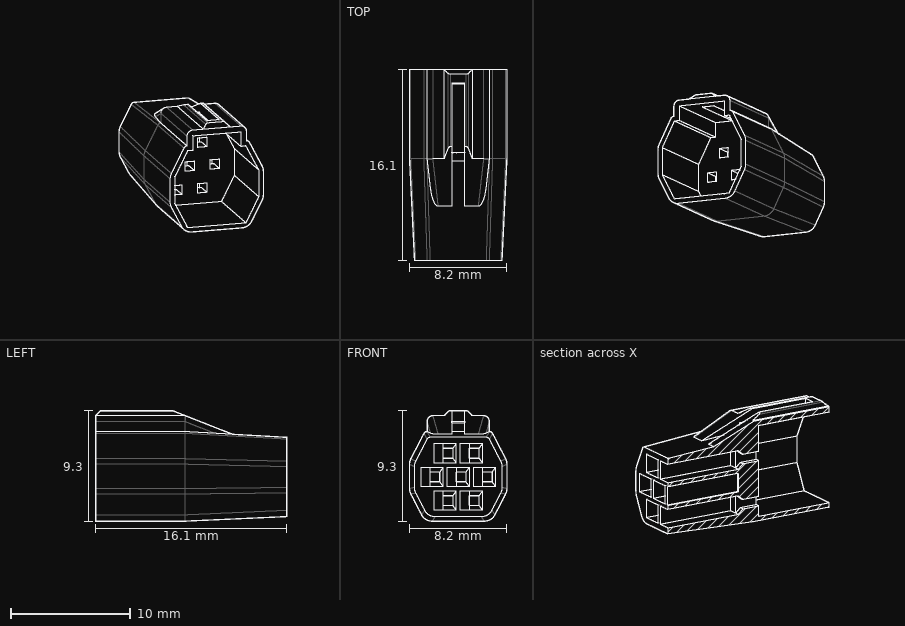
import cadquery as cq
import math

LENGTH = 16.05
TAPER_END = 8.55

HALF_WIDTH = 8.2 / 2
HALF_HEIGHT = 7.55 / 2
SIDE_CORNER_Z = 1.27
SLANT_ANGLE = math.radians(27.3)

SIDE_TAPER = 0.42
TOP_TAPER = 0.48
BOTTOM_TAPER = 0.39
UPPER_CORNER_DROP = 0.21
LOWER_CORNER_RISE = 0.1

TOP_ROUND = 0.29
SIDE_ROUND = 1.0
BOTTOM_ROUND = 1.0

LATCH_HALF_WIDTH = 2.62
LATCH_TOP = 5.12
LATCH_ROUND = 0.5
RAMP_START = 4.56
RAMP_NARROWING = 0.45

RIDGE_HALF_WIDTH = 1.19
RIDGE_HEIGHT = 0.4
RIDGE_ROUND = 0.29

SLOT_WIDTH = 1.08
SLOT_END = 14.93
BAR_LEAN = 0.1
STOP_START = 8.35
STOP_TOP = 4.5

CHAMBER_START = 9.05
WALL = 0.42
CHAMBER_TOP = 4.6
LATCH_WALL = 0.51

CAVITY_WIDTH = 1.86
CAVITY_HEIGHT = 1.6
CAVITY_DEPTH = 7.0
COLUMN_PITCH = 2.2
ROW_PITCH = 1.99
MIDDLE_ROW_Z = -0.05
ROW_COUNTS = (2, 3, 2)
LEDGE_WIDTH = 0.77
PIN_HOLE = 0.8
FUNNEL_DEPTH = 0.48

RIDGE_TOP = LATCH_TOP + RIDGE_HEIGHT
RAMP_FOOT_Z = HALF_HEIGHT - TOP_TAPER * (TAPER_END - RAMP_START) / TAPER_END
RAMP_SLOPE = (LATCH_TOP - RAMP_FOOT_Z) / (TAPER_END - RAMP_START)


def prism(sketch, start, end):
    """Extrude an X-Z sketch along Y."""
    return cq.Workplane("XZ", origin=(0, start, 0)).placeSketch(sketch).extrude(start - end)


def loft(start_sketch, start, end_sketch, end):
    """Straight-sided loft along Y between two X-Z sketches."""
    offset = cq.Location(cq.Vector(0, 0, start - end))
    plane = cq.Workplane("XZ", origin=(0, start, 0))
    return plane.placeSketch(start_sketch, end_sketch.moved(offset)).loft(ruled=True)


def box(x_min, x_max, y_min, y_max, z_min, z_max):
    """Block between the given limits."""
    size = (x_max - x_min, y_max - y_min, z_max - z_min)
    return cq.Workplane("XY").box(*size, centered=False).translate((x_min, y_min, z_min))


def housing_section(half_width, top, upper_corner, lower_corner, bottom):
    """Eight-sided section with sharp corners."""
    top_half = half_width - (top - upper_corner) * math.tan(SLANT_ANGLE)
    bottom_half = half_width - (lower_corner - bottom) * math.tan(SLANT_ANGLE)
    right = [
        (bottom_half, bottom),
        (half_width, lower_corner),
        (half_width, upper_corner),
        (top_half, top),
    ]
    left = [(-x, z) for x, z in reversed(right)]
    return cq.Sketch().polygon(right + left + right[:1])


def round_corners(section):
    """Round the side, top and bottom corners of a housing section."""
    section = section.vertices(">X or <X").fillet(SIDE_ROUND).reset()
    section = section.vertices(">Y").fillet(TOP_ROUND).reset()
    return section.vertices("<Y").fillet(BOTTOM_ROUND).reset()


def make_housing():
    """Tapered length at the cable end, then a straight length to the mating end."""
    mating = housing_section(
        HALF_WIDTH, HALF_HEIGHT, SIDE_CORNER_Z, -SIDE_CORNER_Z, -HALF_HEIGHT
    )
    cable = housing_section(
        HALF_WIDTH - SIDE_TAPER,
        HALF_HEIGHT - TOP_TAPER,
        SIDE_CORNER_Z - UPPER_CORNER_DROP,
        -SIDE_CORNER_Z + LOWER_CORNER_RISE,
        -HALF_HEIGHT + BOTTOM_TAPER,
    )
    cable = round_corners(cable)
    mating = round_corners(mating)
    return loft(cable, 0, mating, TAPER_END).union(prism(mating, TAPER_END, LENGTH))


def make_latch():
    """Latch block with a narrowing ramp at the cable end, rounded along its top edges."""
    foot_half = LATCH_HALF_WIDTH - RAMP_NARROWING
    side_profile = (
        cq.Workplane("YZ")
        .moveTo(RAMP_START, 0)
        .lineTo(RAMP_START, RAMP_FOOT_Z)
        .lineTo(TAPER_END, LATCH_TOP)
        .lineTo(LENGTH, LATCH_TOP)
        .lineTo(LENGTH, 0)
        .close()
        .extrude(LATCH_HALF_WIDTH, both=True)
    )
    plan = (
        cq.Workplane("XY")
        .moveTo(-foot_half, RAMP_START)
        .lineTo(foot_half, RAMP_START)
        .lineTo(LATCH_HALF_WIDTH, TAPER_END)
        .lineTo(LATCH_HALF_WIDTH, LENGTH)
        .lineTo(-LATCH_HALF_WIDTH, LENGTH)
        .lineTo(-LATCH_HALF_WIDTH, TAPER_END)
        .close()
        .extrude(LATCH_TOP)
    )
    block = side_profile.intersect(plan)
    top_edges = block.faces(">Z").edges("|Y").vals()
    for side in (-1, 1):
        ramp_edge_middle = (
            side * (foot_half + LATCH_HALF_WIDTH) / 2,
            (RAMP_START + TAPER_END) / 2,
            (RAMP_FOOT_Z + LATCH_TOP) / 2,
        )
        top_edges += block.edges(cq.NearestToPointSelector(ramp_edge_middle)).vals()
    return block.newObject(top_edges).fillet(LATCH_ROUND)


def make_ridge():
    """Bevelled ridge, trimmed by the ramp at one end and by a bevel at the other."""
    base = HALF_HEIGHT
    top_half = RIDGE_HALF_WIDTH - RIDGE_HEIGHT
    right = [(RIDGE_HALF_WIDTH, base), (RIDGE_HALF_WIDTH, LATCH_TOP), (top_half, RIDGE_TOP)]
    left = [(-x, z) for x, z in reversed(right)]
    section = cq.Sketch().polygon(right + left + right[:1]).vertices(">Y").fillet(RIDGE_ROUND).reset()
    side_profile = (
        cq.Workplane("YZ")
        .moveTo(TAPER_END, base)
        .lineTo(TAPER_END, LATCH_TOP)
        .lineTo(TAPER_END + RIDGE_HEIGHT / RAMP_SLOPE, RIDGE_TOP)
        .lineTo(LENGTH - RIDGE_HEIGHT, RIDGE_TOP)
        .lineTo(LENGTH, LATCH_TOP)
        .lineTo(LENGTH, base)
        .close()
        .extrude(RIDGE_HALF_WIDTH, both=True)
    )
    return prism(section, TAPER_END, LENGTH).intersect(side_profile)


def make_slot():
    """Slot through the latch down to the housing top, with the stop left standing."""
    return (
        cq.Workplane("YZ")
        .moveTo(0, HALF_HEIGHT - TOP_TAPER)
        .lineTo(TAPER_END, HALF_HEIGHT)
        .lineTo(SLOT_END - BAR_LEAN, HALF_HEIGHT)
        .lineTo(SLOT_END - BAR_LEAN, CHAMBER_TOP)
        .lineTo(SLOT_END, RIDGE_TOP)
        .lineTo(0, RIDGE_TOP)
        .close()
        .extrude(SLOT_WIDTH / 2, both=True)
        .cut(box(-SLOT_WIDTH, SLOT_WIDTH, STOP_START, CHAMBER_START, 0, STOP_TOP))
    )


def make_chamber():
    """Hollow that follows the housing and reaches up into the latch, with sharp corners."""
    corner_z = SIDE_CORNER_Z - WALL * math.tan(SLANT_ANGLE / 2)
    section = housing_section(
        HALF_WIDTH - WALL, HALF_HEIGHT - WALL, corner_z, -corner_z, WALL - HALF_HEIGHT
    )
    latch_half = LATCH_HALF_WIDTH - LATCH_WALL
    latch_room = box(-latch_half, latch_half, CHAMBER_START, LENGTH, 0, CHAMBER_TOP)
    return prism(section, CHAMBER_START, LENGTH).union(latch_room)


def make_cavity():
    """Contact cavity with a stepped floor, a funnel and a pin hole into the chamber."""
    funnel_width = CAVITY_WIDTH - LEDGE_WIDTH
    ledge_edge = LEDGE_WIDTH - CAVITY_WIDTH / 2
    funnel_x = ledge_edge + funnel_width / 2
    hole_x = ledge_edge + PIN_HOLE / 2
    funnel_end = CAVITY_DEPTH + FUNNEL_DEPTH
    pocket = cq.Sketch().rect(CAVITY_WIDTH, CAVITY_HEIGHT)
    mouth = cq.Sketch().push([(funnel_x, 0)]).rect(funnel_width, CAVITY_HEIGHT)
    hole = cq.Sketch().push([(hole_x, 0)]).rect(PIN_HOLE, PIN_HOLE)
    return (
        prism(pocket, 0, CAVITY_DEPTH)
        .union(loft(mouth, CAVITY_DEPTH, hole, funnel_end))
        .union(prism(hole, funnel_end, CHAMBER_START))
    )


result = make_housing().union(make_latch()).union(make_ridge())
result = result.cut(make_slot()).cut(make_chamber())

cavity = make_cavity()
for row, count in enumerate(ROW_COUNTS):
    z = MIDDLE_ROW_Z + (row - 1) * ROW_PITCH
    for column in range(count):
        x = (column - (count - 1) / 2) * COLUMN_PITCH
        result = result.cut(cavity.translate((x, 0, z)))